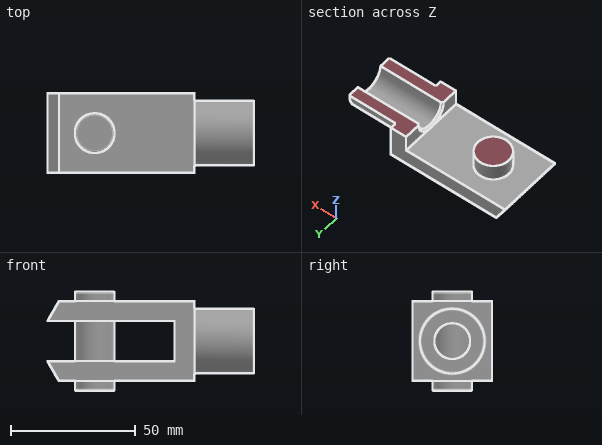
import cadquery as cq
import math

fork_width = 32.0
slot_width = 16.0
tip_to_pin = 19.0
pin_to_slot_end = 32.0
slot_end_thickness = 8.0
tip_bevel_angle = 30.0

shank_diameter = 26.0
shank_length = 24.0
shank_fillet = 0.52

pin_diameter = slot_width
pin_length = 40.0
pin_end_fillet = 0.8

thread_diameter = 16.0
bore_diameter = 14.38

half_width = fork_width / 2
half_slot = slot_width / 2
arm_thickness = half_width - half_slot
tip_setback = arm_thickness * math.tan(math.radians(tip_bevel_angle))
tip_x = -tip_to_pin
slot_end_x = pin_to_slot_end
body_end_x = slot_end_x + slot_end_thickness
shank_end_x = body_end_x + shank_length
countersink_depth = (thread_diameter - bore_diameter) / 2


def make_fork():
    """U-shaped body with bevelled arm tips, extruded across its width."""
    outline = [
        (tip_x + tip_setback, half_width),
        (body_end_x, half_width),
        (body_end_x, -half_width),
        (tip_x + tip_setback, -half_width),
        (tip_x, -half_slot),
        (slot_end_x, -half_slot),
        (slot_end_x, half_slot),
        (tip_x, half_slot),
    ]
    return cq.Workplane("XZ").polyline(outline).close().extrude(half_width, both=True)


def make_shank():
    """Round shank with a rounded free end and a flared fillet at its root."""
    radius = shank_diameter / 2
    arc_mid_offset = shank_fillet * (1 - math.sqrt(0.5))
    root_mid = (body_end_x + arc_mid_offset, radius + arc_mid_offset)
    end_mid = (shank_end_x - arc_mid_offset, radius - arc_mid_offset)
    return (
        cq.Workplane("XY")
        .moveTo(body_end_x, 0)
        .lineTo(body_end_x, radius + shank_fillet)
        .threePointArc(root_mid, (body_end_x + shank_fillet, radius))
        .lineTo(shank_end_x - shank_fillet, radius)
        .threePointArc(end_mid, (shank_end_x, radius - shank_fillet))
        .lineTo(shank_end_x, 0)
        .close()
        .revolve(360, (0, 0, 0), (1, 0, 0))
    )


def make_bore():
    """Cutter for the through bore, countersunk where it opens into the slot."""
    bore_radius = bore_diameter / 2
    mouth_radius = thread_diameter / 2
    outline = [
        (slot_end_x, 0),
        (slot_end_x, mouth_radius),
        (slot_end_x + countersink_depth, bore_radius),
        (shank_end_x, bore_radius),
        (shank_end_x, 0),
    ]
    return cq.Workplane("XY").polyline(outline).close().revolve(360, (0, 0, 0), (1, 0, 0))


def make_pin():
    """Cross pin through both arms, rounded at its two ends."""
    pin = cq.Workplane("XY", (0, 0, -pin_length / 2)).circle(pin_diameter / 2).extrude(pin_length)
    return pin.faces("|Z").edges().fillet(pin_end_fillet)


result = make_fork().union(make_shank()).cut(make_bore()).union(make_pin())